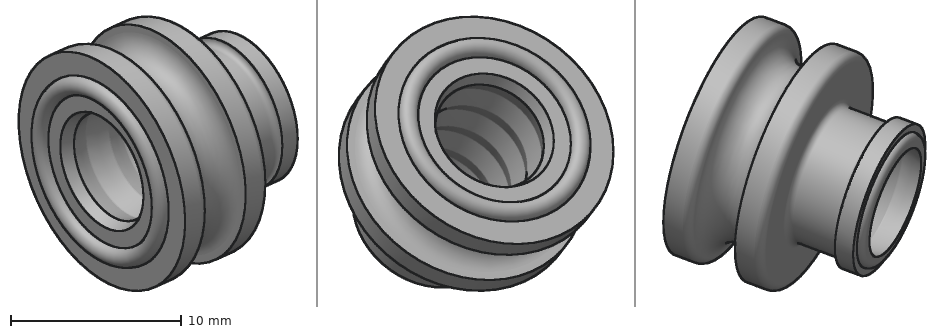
import cadquery as cq
import math


flange_radius = 7.475
flange_edge_fillet = 0.5
front_flange_end = 1.8
groove_radius = 1.45
groove_centre_y = front_flange_end + groove_radius
groove_centre_radius = flange_radius - flange_edge_fillet
rear_flange_start = groove_centre_y + groove_radius
rear_flange_end = 6.5

hub_radius = 4.25
hub_fillet = 0.4
hub_end = 11.5
collar_radius = 4.75
collar_start = 9.9
collar_end = hub_end - hub_fillet

bead_outer_radius = 6.0
bead_height = 0.6
bead_centre_radius = bead_outer_radius - bead_height

bore_wide_radius = 3.73
bore_narrow_radius = 3.4
first_narrow_y = 0.78
widening_length = 1.13
narrowing_length = 1.43
land_length = 0.07
bore_ridges = 4

arc_middle = math.sqrt(0.5)


def arc(outline, centre, radius, radial_sign, axial_sign, end):
    """Add a quarter arc whose middle lies in the given quadrant around its centre."""
    middle = (
        centre[0] + radial_sign * radius * arc_middle,
        centre[1] + axial_sign * radius * arc_middle,
    )
    return outline.threePointArc(middle, end)


def revolve(outline):
    """Turn a closed (radius, Y) outline once around the Y axis."""
    return outline.close().revolve(360, (0, 0, 0), (0, 1, 0))


def make_body():
    flange_round_radius = flange_radius - flange_edge_fillet
    hub_fillet_radius = hub_radius + hub_fillet
    hub_round_radius = hub_radius - hub_fillet

    outline = cq.Workplane("XY").moveTo(0, 0).lineTo(flange_radius, 0)

    front_round_y = front_flange_end - flange_edge_fillet
    outline = outline.lineTo(flange_radius, front_round_y)
    outline = arc(outline, (flange_round_radius, front_round_y), flange_edge_fillet, 1, 1,
                  (flange_round_radius, front_flange_end))

    outline = outline.threePointArc((groove_centre_radius - groove_radius, groove_centre_y),
                                    (groove_centre_radius, rear_flange_start))
    outline = outline.lineTo(flange_radius, rear_flange_start)

    rear_round_y = rear_flange_end - flange_edge_fillet
    outline = outline.lineTo(flange_radius, rear_round_y)
    outline = arc(outline, (flange_round_radius, rear_round_y), flange_edge_fillet, 1, 1,
                  (flange_round_radius, rear_flange_end))

    neck_start = rear_flange_end + hub_fillet
    neck_end = collar_start - hub_fillet
    outline = outline.lineTo(hub_fillet_radius, rear_flange_end)
    outline = arc(outline, (hub_fillet_radius, neck_start), hub_fillet, -1, -1, (hub_radius, neck_start))
    outline = outline.lineTo(hub_radius, neck_end)
    outline = arc(outline, (hub_fillet_radius, neck_end), hub_fillet, -1, 1,
                  (hub_fillet_radius, collar_start))

    outline = outline.lineTo(collar_radius, collar_start)
    outline = outline.lineTo(collar_radius, collar_end)
    outline = outline.lineTo(hub_radius, collar_end)
    outline = arc(outline, (hub_round_radius, collar_end), hub_fillet, 1, 1, (hub_round_radius, hub_end))
    return revolve(outline.lineTo(0, hub_end))


def make_bead():
    bead_inner_radius = bead_centre_radius - bead_height
    outline = cq.Workplane("XY").moveTo(bead_inner_radius, 0)
    outline = outline.threePointArc((bead_centre_radius, -bead_height), (bead_outer_radius, 0))
    return revolve(outline)


def make_bore():
    ridge_pitch = widening_length + narrowing_length + 2 * land_length
    outline = cq.Workplane("XY").moveTo(0, 0).lineTo(bore_wide_radius, 0)
    for ridge in range(bore_ridges):
        narrow_start = first_narrow_y + ridge * ridge_pitch
        narrow_end = narrow_start + land_length
        wide_start = narrow_end + widening_length
        outline = outline.lineTo(bore_narrow_radius, narrow_start)
        outline = outline.lineTo(bore_narrow_radius, narrow_end)
        outline = outline.lineTo(bore_wide_radius, wide_start)
        outline = outline.lineTo(bore_wide_radius, wide_start + land_length)
    outline = outline.lineTo(bore_narrow_radius, hub_end)
    return revolve(outline.lineTo(0, hub_end))


result = make_body().union(make_bead()).cut(make_bore())